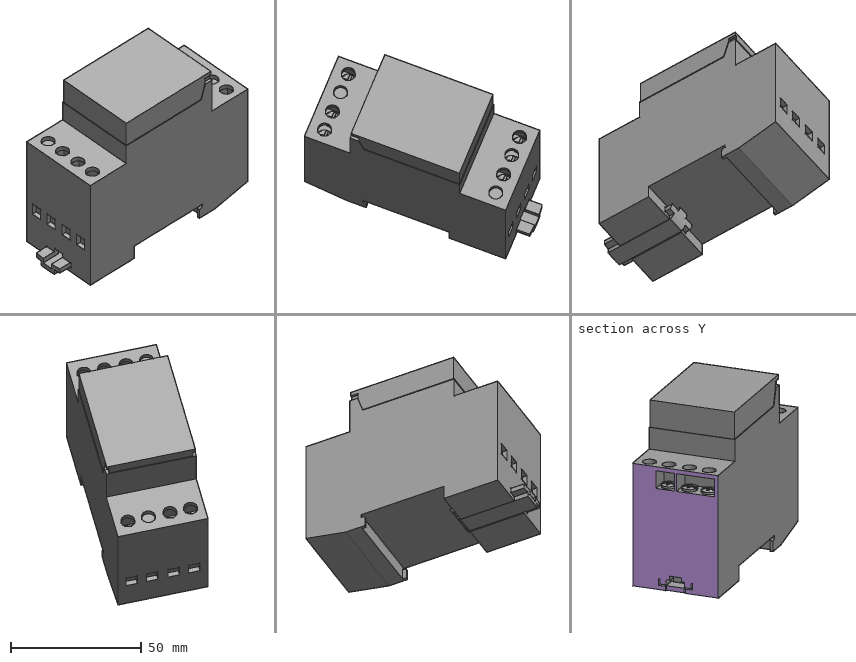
import cadquery as cq


width = 35.6
overall_depth = 88.9
depth = 83.0
height = 70.3
shoulder_z = 50.3
tower_front = 18.9
tower_back = depth - tower_front
wall = 1.2
back_bottom_z = 3.7
taper_start_y = 65.7

slot_z = 6.1
slot_front = 23.3
lip_y = 57.5
slot_back = 59.1
lip_z = 4.4
lip_bevel_z = 5.1

cover_inset = 0.3
cover_z = 59.2
ear_z = 66.0
ear_front = 60.6
ear_foot_y = 58.5
ear_gap_top_z = 68.5

terminal_offset_inner = 4.3
terminal_offset_outer = 12.4
terminal_xs = (
    -terminal_offset_outer,
    -terminal_offset_inner,
    terminal_offset_inner,
    terminal_offset_outer,
)
window_width = 4.45
window_bottom_z = 15.8
window_height = 5.1
window_depth = 2.0

hole_radius = 2.7
hole_inset = 6.2
lid_thickness = 1.9
chamber_margin_x = 3.7
chamber_margin_y = 4.2
chamber_depth = 8.9
chamber_floor_z = shoulder_z - chamber_depth
head_radius = 3.1
head_rim = 0.9
head_cone = 0.8
drive_width = 1.0
drive_depth = 1.2
cross_top_length = 4.3
cross_floor_length = 2.3

latch_reach = overall_depth - depth
latch_bow = 0.45
latch_top_z = 4.45
latch_wing_z = 2.3
latch_bottom_z = 0.2
latch_half = 6.6
stem_half = 3.7
channel_gap = 0.4
nose_tip_y = 27.1
nose_mid_y = 25.4
nose_mid_z = 2.4
tongue_width = 4.6
tongue_front = 7.1
groove_step_y = 2.2
groove_floor_z = 2.2
groove_inner_width = 2 * stem_half
stop_front = 5.3
stop_width = 4.0
stop_bottom_z = 2.85


def box(x_min, x_max, y_min, y_max, z_min, z_max):
    size = (x_max - x_min, y_max - y_min, z_max - z_min)
    return cq.Workplane("XY").box(*size, centered=False).translate((x_min, y_min, z_min))


def centred_box(box_width, y_min, y_max, z_min, z_max):
    return box(-box_width / 2, box_width / 2, y_min, y_max, z_min, z_max)


def side_prism(points, prism_width):
    """Extrude a (y, z) outline across the width, centred on X = 0."""
    return cq.Workplane("YZ").polyline(points).close().extrude(prism_width / 2, both=True)


def make_housing():
    outline = [
        (0, 0),
        (slot_front, 0),
        (slot_front, slot_z),
        (slot_back, slot_z),
        (slot_back, lip_bevel_z),
        (lip_y, lip_z),
        (lip_y, 0),
        (taper_start_y, 0),
        (depth, back_bottom_z),
        (depth, shoulder_z),
        (tower_back, shoulder_z),
        (tower_back, ear_z),
        (ear_front, ear_z),
        (ear_foot_y, cover_z),
        (tower_front, cover_z),
        (tower_front, shoulder_z),
        (0, shoulder_z),
    ]
    lip_opening = centred_box(width - 2 * wall, lip_y, slot_back, 0, slot_z)
    return side_prism(outline, width).cut(lip_opening)


def make_cover():
    cover_back = tower_back - cover_inset
    cover = centred_box(width - 2 * cover_inset, tower_front + cover_inset, cover_back, cover_z, height)
    for x_min in (-width / 2, width / 2 - wall):
        cover = cover.cut(box(x_min, x_min + wall, ear_front, cover_back, ear_z, ear_gap_top_z))
    return cover


def make_windows():
    """Shallow wire entry pockets in the front and back faces."""
    windows = cq.Workplane("XY")
    for x in terminal_xs:
        for y_min in (0, depth - window_depth):
            pocket = centred_box(
                window_width, y_min, y_min + window_depth, window_bottom_z, window_bottom_z + window_height
            )
            windows = windows.add(pocket.translate((x, 0, 0)))
    return windows.combine()


def make_access_hole(x, y):
    hole = cq.Workplane("XY").circle(hole_radius).extrude(lid_thickness)
    return hole.translate((x, y, shoulder_z - lid_thickness))


def make_chamber(first_x, last_x, y):
    """Hollow below the lid, shared by the screws from first_x to last_x."""
    return box(
        first_x - chamber_margin_x,
        last_x + chamber_margin_x,
        y - chamber_margin_y,
        y + chamber_margin_y,
        chamber_floor_z,
        shoulder_z - lid_thickness,
    )


def make_screw(x, y):
    """Screw head with a shallow cone top, a full slot and a shorter tapered cross slot."""
    apex_z = head_rim + head_cone
    drive_floor_z = apex_z - drive_depth
    head_outline = [(0, 0), (head_radius, 0), (head_radius, head_rim), (0, apex_z)]
    head = cq.Workplane("XZ").polyline(head_outline).close().revolve(360, (0, 0), (0, 1))
    slot = centred_box(2 * head_radius, -drive_width / 2, drive_width / 2, drive_floor_z, apex_z)
    cross = side_prism(
        [
            (-cross_floor_length / 2, drive_floor_z),
            (cross_floor_length / 2, drive_floor_z),
            (cross_top_length / 2, apex_z),
            (-cross_top_length / 2, apex_z),
        ],
        drive_width,
    )
    return head.cut(slot).cut(cross).translate((x, y, chamber_floor_z))


def add_terminal_row(body, y, blind_x):
    """Four access holes; the one at blind_x has no chamber or screw below it."""
    for x in terminal_xs:
        body = body.cut(make_access_hole(x, y))
    for side_xs in (terminal_xs[:2], terminal_xs[2:]):
        screw_xs = [x for x in side_xs if x != blind_x]
        body = body.cut(make_chamber(screw_xs[0], screw_xs[-1], y))
        for x in screw_xs:
            body = body.union(make_screw(x, y))
    return body


def make_channel():
    """T-shaped channel through the front foot, with a window above the latch."""
    wings = centred_box(
        2 * (latch_half + channel_gap), 0, slot_front, latch_wing_z - channel_gap, latch_top_z
    )
    stem = centred_box(2 * (stem_half + channel_gap), 0, slot_front, 0, latch_top_z)
    window = centred_box(tongue_width, 0, tongue_front, latch_top_z, slot_z)
    return wings.union(stem).union(window)


def make_latch():
    """T-section slider with a bowed front end, a curved nose and a groove that widens inside the foot."""
    front = -latch_reach
    wings = centred_box(2 * latch_half, front, nose_tip_y, latch_wing_z, latch_top_z)
    stem = centred_box(2 * stem_half, front, nose_tip_y, latch_bottom_z, latch_wing_z)
    tongue = centred_box(tongue_width, tongue_front, nose_tip_y, latch_top_z, slot_z)
    side_limit = (
        cq.Workplane("YZ")
        .moveTo(front, 0)
        .lineTo(slot_front, 0)
        .threePointArc((nose_mid_y, nose_mid_z), (nose_tip_y, slot_z))
        .lineTo(front, slot_z)
        .close()
        .extrude(latch_half, both=True)
    )
    plan_limit = (
        cq.Workplane("XY")
        .moveTo(-latch_half, front + latch_bow)
        .threePointArc((0, front), (latch_half, front + latch_bow))
        .lineTo(latch_half, nose_tip_y)
        .lineTo(-latch_half, nose_tip_y)
        .close()
        .extrude(slot_z)
    )
    groove = centred_box(tongue_width, front, groove_step_y, groove_floor_z, latch_top_z)
    inner_groove = centred_box(
        groove_inner_width, groove_step_y, tongue_front, groove_floor_z, latch_top_z
    )
    latch = wings.union(stem).union(tongue)
    return latch.intersect(side_limit).intersect(plan_limit).cut(groove).cut(inner_groove)


def make_stop():
    """Block hanging from the roof of the channel window into the latch groove."""
    return centred_box(stop_width, stop_front, tongue_front, stop_bottom_z, slot_z)


body = make_housing().union(make_cover()).cut(make_windows())
body = add_terminal_row(body, hole_inset, blind_x=-terminal_offset_outer)
body = add_terminal_row(body, depth - hole_inset, blind_x=terminal_offset_inner)
result = body.cut(make_channel()).union(make_latch()).union(make_stop())